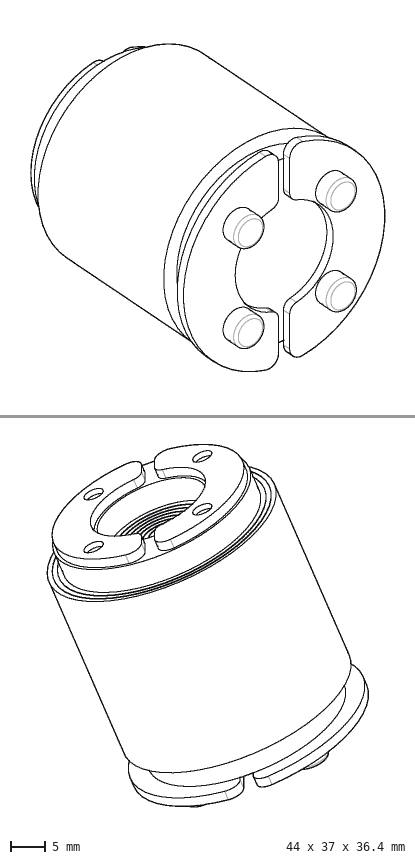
import cadquery as cq

total_length = 44.0
plate_thickness = 1.5
body_start = 5.5
body_end = 35.5
rear_plate_start = 39.5
rear_plate_end = rear_plate_start + plate_thickness

body_diameter = 35.8
neck_diameter = 31.0
bore_diameter = 17.05

front_plate_diameter = 30.0
rear_plate_diameter = 37.0
plate_opening_diameter = 18.0
slot_width = 2.02
outer_corner_radius = 2.02
inner_corner_radius = 1.65

pattern_offset = 8.5
hole_diameter = 3.0
hole_depth = 0.9
pin_diameter = 5.45
pin_tip_radius = 0.5

groove_depth = 0.1
shoulder_bands = 3
floor_center_diameter = 4.05
floor_bands = 7


def cylinder(diameter, start, end):
    """Solid cylinder on the X axis between two stations."""
    return cq.Workplane("YZ", origin=(start, 0, 0)).circle(diameter / 2).extrude(end - start)


def ring(inner_diameter, outer_diameter, start, end):
    """Solid ring on the X axis between two stations."""
    return cylinder(outer_diameter, start, end).cut(cylinder(inner_diameter, start, end))


def at_pattern(start):
    """Workplane facing +X with the four pattern points selected."""
    spacing = 2 * pattern_offset
    return cq.Workplane("YZ", origin=(start, 0, 0)).rect(spacing, spacing, forConstruction=True).vertices()


def slot_zone(start, bottom, top):
    """Selector for the edges along the slot of a plate between two heights."""
    return cq.selectors.BoxSelector((start, -slot_width, bottom), (start + plate_thickness, slot_width, top))


def split_plate(diameter, start):
    """Round plate with a central opening, cut by a vertical slot into two rounded halves."""
    end = start + plate_thickness
    plate = ring(plate_opening_diameter, diameter, start, end)
    slot = cq.Workplane("XY").box(2 * plate_thickness, slot_width, 2 * diameter)
    plate = plate.cut(slot.translate(((start + end) / 2, 0, 0)))

    middle_radius = (plate_opening_diameter + diameter) / 4
    inner_corners = slot_zone(start, -middle_radius, middle_radius)
    plate = plate.edges("|X").edges(inner_corners).fillet(inner_corner_radius)
    outer_corners = slot_zone(start, middle_radius, diameter) + slot_zone(start, -diameter, -middle_radius)
    return plate.edges("|X").edges(outer_corners).fillet(outer_corner_radius)


def make_body():
    """Stepped barrel with a flat-bottomed bore in its open end."""
    neck = cylinder(neck_diameter, plate_thickness, rear_plate_start)
    barrel = cylinder(body_diameter, body_start, body_end)
    bore = cylinder(bore_diameter, plate_thickness, body_start)
    return neck.union(barrel).cut(bore)


def shoulder_groove():
    """Shallow ring in the middle band of the shoulder facing the open end."""
    band_step = (body_diameter - neck_diameter) / shoulder_bands
    inner_diameter = neck_diameter + band_step
    return ring(inner_diameter, inner_diameter + band_step, body_start, body_start + groove_depth)


def floor_grooves():
    """Shallow central disc and every second band of the bore floor."""
    groove_end = body_start + groove_depth
    band_step = (bore_diameter - floor_center_diameter) / floor_bands
    grooves = cylinder(floor_center_diameter, body_start, groove_end)
    for band in range(1, floor_bands, 2):
        inner_diameter = floor_center_diameter + band * band_step
        grooves = grooves.union(ring(inner_diameter, inner_diameter + band_step, body_start, groove_end))
    return grooves


def make_holes():
    """Four blind holes sunk into the front plate."""
    return at_pattern(0).circle(hole_diameter / 2).extrude(hole_depth)


def make_pins():
    """Four pins with rounded tips standing on the rear plate."""
    pins = at_pattern(rear_plate_end).circle(pin_diameter / 2).extrude(total_length - rear_plate_end)
    return pins.faces(">X").edges().fillet(pin_tip_radius)


front_plate = split_plate(front_plate_diameter, 0).cut(make_holes())
rear_plate = split_plate(rear_plate_diameter, rear_plate_start)
body = make_body().cut(shoulder_groove()).cut(floor_grooves())
result = body.union(front_plate).union(rear_plate).union(make_pins())